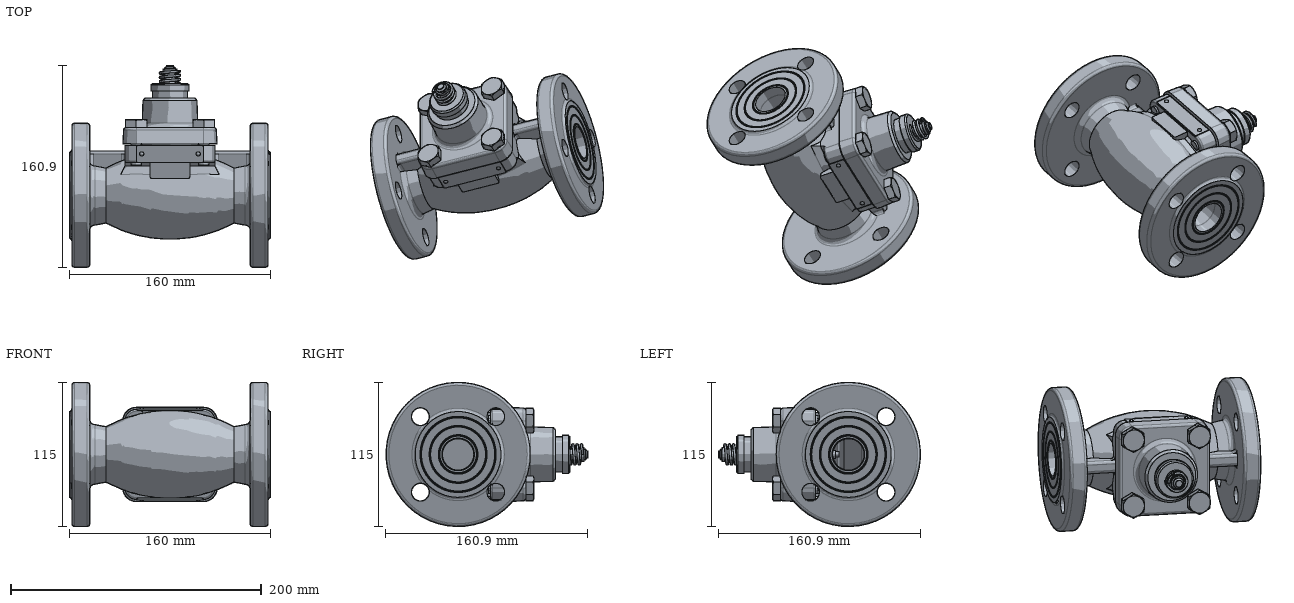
import cadquery as cq
import math


face_to_face = 160.0
flange_dia = 115.0
flange_thickness = 14.3
flange_edge_radius = 2.3
raised_face_height = 1.8
raised_face_radius = 34.2
raised_face_base_radius = 36.8
bolt_circle_dia = 85.0
bolt_hole_dia = 14.0
bolt_hole_count = 4
groove_radii = (15.2, 22.5, 29.8)
groove_width = 1.2
groove_depth = 0.5

barrel_radius = 35.1
barrel_half_length = 51.0
barrel_end_radius = 22.2
neck_big_radius = 23.9
neck_fillet = 4.0

bore_radius = 13.0
bore_length = 9.0
passage_end_radius = 12.5
outlet_depth = 55.0
ramp_half_width = 20.0

mount_half_width = 35.9
mount_corner_radius = 9.2
mount_bottom = 26.0
mount_top = 39.8
mount_edge_radius = 1.4
pedestal_bottom = 16.6
pedestal_bottom_half_length = 39.2
pedestal_waist = 23.3
pedestal_waist_inset = 1.8
pedestal_top_inset = -0.8
web_top = 35.4
web_half_thickness = 5.0
web_edge_radius = 2.4
web_floor = 10.0
web_corner_radius = 3.0
web_sink = 0.1

plate_half_length = 26.6
plate_bottom = 26.05
plate_top = 39.6
plate_corner_radius = 1.0
plate_face = 36.4
plate_embed = 1.0
rivet_offset = 22.5
rivet_height = 33.0
rivet_radius = 1.7
rivet_rise = 1.0
tab_half_length = 15.8
tab_bottom = 13.4
tab_face = 33.6
tab_corner_radius = 1.5

bonnet_bottom = 40.9
bonnet_flange_top = 54.0
bonnet_half_width = 37.6
bonnet_corner_radius = 10.8
bonnet_draft_angle = 3.0
bonnet_edge_radius = 2.2
gasket_radius = 22.5
hub_base_radius = 22.2
hub_top_radius = 21.6
hub_top = 77.7
hub_chamfer = 2.0
hub_fillet = 3.6
collar_radius = 14.1
cap_radius = 15.3
cap_bottom = 83.1
cap_top = 89.0
cap_chamfer = 1.2

screw_offset = 27.0
screw_radius = 4.2
screw_end = 24.3
head_across_flats = 17.2
head_top = 60.4
head_chamfer_angle = 30.0

overall_width = 160.9
stem_top = overall_width - flange_dia / 2
stem_radius = 4.3
stem_tip_radius = 2.8
stem_tip_length = 0.8
stem_cone_end = 101.6
disc_radius = 5.7
disc_top = 100.5
disc_bottom = 98.4
spring_radius = 7.6
spring_wire_radius = 0.95
spring_pitch = 3.4
spring_embed = 0.1
spring_start = cap_top - spring_embed
spring_turns = 3
spring_ground_top = 99.4
spindle_radius = 3.2
spindle_end = 10.3
pin_radius = 2.2
pin_end = 7.3

end_x = face_to_face / 2
flange_outer_x = end_x - raised_face_height
flange_inner_x = flange_outer_x - flange_thickness
neck_big_x = flange_inner_x - neck_fillet
barrel_bulge = barrel_radius - barrel_end_radius
barrel_arc_radius = (barrel_half_length**2 + barrel_bulge**2) / (2 * barrel_bulge)
arc_middle = 1 - math.sqrt(0.5)


def barrel_radius_at(x):
    return barrel_radius - barrel_arc_radius + math.sqrt(barrel_arc_radius**2 - x**2)


def barrel_half_width(x, y):
    """Half width of the barrel along Z at position x and height y."""
    return math.sqrt(barrel_radius_at(x)**2 - y**2)


def both_sides(shape, plane):
    return shape.union(shape.mirror(plane))


def plane_at_height(y):
    """Sketch plane at height y: local x is X, local y is -Z, extruding toward +Y."""
    return cq.Workplane("XZ", origin=(0, y, 0)).transformed(rotate=(180, 0, 0))


def disc(radius, bottom, top, x=0, z=0):
    return plane_at_height(bottom).center(x, -z).circle(radius).extrude(top - bottom)


def corner_positions(offset):
    return [(sx * offset, sz * offset) for sx in (-1, 1) for sz in (-1, 1)]


def make_barrel():
    outline = (
        cq.Workplane("XY")
        .moveTo(-neck_big_x, 0)
        .lineTo(-neck_big_x, neck_big_radius)
        .lineTo(-barrel_half_length, barrel_end_radius)
        .threePointArc((0, barrel_radius), (barrel_half_length, barrel_end_radius))
        .lineTo(neck_big_x, neck_big_radius)
        .lineTo(neck_big_x, 0)
        .close()
    )
    return outline.revolve(360, (0, 0, 0), (1, 0, 0))


def make_end_flange():
    """Flange at the -X end, with its raised face and the fillet that runs into the neck."""
    rim = flange_dia / 2
    edge = flange_edge_radius
    flare = raised_face_base_radius - raised_face_radius
    flare_arc = (raised_face_height**2 + flare**2) / (2 * raised_face_height)
    flare_half_angle = math.asin(flare / flare_arc) / 2
    flare_middle = (
        -flange_outer_x - flare_arc * (1 - math.cos(flare_half_angle)),
        raised_face_base_radius - flare_arc * math.sin(flare_half_angle),
    )
    root = neck_big_radius + neck_fillet
    outline = (
        cq.Workplane("XY")
        .moveTo(-end_x, 0)
        .lineTo(-end_x, raised_face_radius)
        .threePointArc(flare_middle, (-flange_outer_x, raised_face_base_radius))
        .lineTo(-flange_outer_x, rim - edge)
        .threePointArc(
            (-flange_outer_x + arc_middle * edge, rim - arc_middle * edge),
            (-flange_outer_x + edge, rim),
        )
        .lineTo(-flange_inner_x - edge, rim)
        .threePointArc(
            (-flange_inner_x - arc_middle * edge, rim - arc_middle * edge),
            (-flange_inner_x, rim - edge),
        )
        .lineTo(-flange_inner_x, root)
        .threePointArc(
            (-flange_inner_x + arc_middle * neck_fillet, neck_big_radius + arc_middle * neck_fillet),
            (-neck_big_x, neck_big_radius),
        )
        .lineTo(-neck_big_x, 0)
        .close()
    )
    return outline.revolve(360, (0, 0, 0), (1, 0, 0))


def make_flange_cuts():
    """Bolt holes and V-shaped sealing grooves of the -X flange."""
    cuts = (
        cq.Workplane("YZ", origin=(-end_x, 0, 0))
        .polarArray(bolt_circle_dia / 2, 180 / bolt_hole_count, 360, bolt_hole_count)
        .circle(bolt_hole_dia / 2)
        .extrude(end_x - flange_inner_x)
    )
    for radius in groove_radii:
        groove = (
            cq.Workplane("XY")
            .polyline([
                (-end_x, radius - groove_width / 2),
                (-end_x + groove_depth, radius),
                (-end_x, radius + groove_width / 2),
            ])
            .close()
            .revolve(360, (0, 0, 0), (1, 0, 0))
        )
        cuts = cuts.union(groove)
    return cuts


def make_passage(depth):
    """Bore entering from the -X end: a short cylinder, then a slight taper down to the given depth."""
    outline = cq.Workplane("XY").polyline([
        (-end_x, 0),
        (-end_x, bore_radius),
        (-end_x + bore_length, bore_radius),
        (-end_x + depth, passage_end_radius),
        (-end_x + depth, 0),
    ])
    return outline.close().revolve(360, (0, 0, 0), (1, 0, 0))


def make_inlet():
    """Inlet passage, closed by a stepped ramp that rises toward the stem."""
    ramp_foot = (-12.0, -10.4)
    ramp_crest = (1.8, 3.4)
    shelf_middle = (6.5, 5.0)
    shelf_end = (9.5, 8.5)
    ramp_end = (15.0, 14.0)
    floor_start_x = -16.0
    allowed = (
        cq.Workplane("XY", origin=(0, 0, -ramp_half_width))
        .moveTo(-end_x, ramp_end[1])
        .lineTo(-end_x, -ramp_end[1])
        .lineTo(floor_start_x, -bore_radius)
        .lineTo(*ramp_foot)
        .lineTo(*ramp_crest)
        .threePointArc(shelf_middle, shelf_end)
        .lineTo(*ramp_end)
        .close()
        .extrude(2 * ramp_half_width)
    )
    return make_passage(end_x + ramp_end[0]).intersect(allowed)


def make_spindle_tip():
    """Lower end of the spindle, reaching down into the inlet passage."""
    spindle = disc(spindle_radius, spindle_end, mount_bottom)
    return spindle.union(disc(pin_radius, pin_end, mount_bottom))


def make_mount():
    """Square block on the barrel that carries the bonnet."""
    return (
        plane_at_height(mount_bottom)
        .rect(2 * mount_half_width, 2 * mount_half_width)
        .extrude(mount_top - mount_bottom)
        .edges("|Y")
        .fillet(mount_corner_radius)
        .faces("<Y")
        .edges()
        .fillet(mount_edge_radius)
    )


def make_pedestal():
    """Waisted column from the barrel to the underside of the mount, following the barrel's bulge."""

    def outline(plane, half_length, inset):
        middle = barrel_half_width(0, pedestal_bottom) - inset
        end = barrel_half_width(half_length, pedestal_bottom) - inset
        return (
            plane.moveTo(-half_length, -end)
            .threePointArc((0, -middle), (half_length, -end))
            .lineTo(half_length, end)
            .threePointArc((0, middle), (-half_length, end))
            .close()
        )

    def stage(bottom, bottom_length, bottom_inset, top, top_length, top_inset):
        lower = outline(plane_at_height(bottom), bottom_length, bottom_inset)
        upper = outline(lower.workplane(offset=top - bottom), top_length, top_inset)
        return upper.loft(ruled=True)

    foot = stage(
        pedestal_bottom, pedestal_bottom_half_length, 0,
        pedestal_waist, mount_half_width, pedestal_waist_inset,
    )
    top = mount_bottom + mount_edge_radius
    neck = stage(
        pedestal_waist, mount_half_width, pedestal_waist_inset,
        top, mount_half_width, pedestal_top_inset,
    )
    return foot.union(neck)


def make_web():
    """Rib between the -X flange and the mount: rounded top edges, side walls flared at both ends."""
    start = -flange_inner_x - web_sink
    end = -mount_half_width + web_sink
    side = web_half_thickness
    flare = web_corner_radius
    middle = arc_middle * flare
    overlap = 1.0
    half_plan = (
        plane_at_height(web_floor)
        .moveTo(start - overlap, 0)
        .lineTo(start - overlap, side + flare)
        .lineTo(start, side + flare)
        .threePointArc((start + middle, side + middle), (start + flare, side))
        .lineTo(end - flare, side)
        .threePointArc((end - middle, side + middle), (end, side + flare))
        .lineTo(end + overlap, side + flare)
        .lineTo(end + overlap, 0)
        .mirrorX()
    )
    flared = half_plan.extrude(web_top - web_edge_radius - web_floor)
    core = (
        plane_at_height(web_floor)
        .center((start + end) / 2, 0)
        .rect(end - start + 2 * overlap, 2 * side)
        .extrude(web_top - web_floor)
        .faces(">Y")
        .edges("|X")
        .fillet(web_edge_radius)
    )
    return flared.union(core)


def make_name_plate():
    """Riveted plate on the +Z side of the mount."""
    plate_height = plate_top - plate_bottom
    plate_back = mount_half_width - plate_embed
    plate = (
        cq.Workplane("XY", origin=(0, plate_bottom + plate_height / 2, plate_back))
        .rect(2 * plate_half_length, plate_height)
        .extrude(plate_face - plate_back)
        .edges("|Z")
        .fillet(plate_corner_radius)
    )
    dome_radius = (rivet_radius**2 + rivet_rise**2) / (2 * rivet_rise)
    for side in (-1, 1):
        dome_center = (side * rivet_offset, rivet_height, plate_face + rivet_rise - dome_radius)
        plate = plate.union(cq.Workplane("XY", origin=dome_center).sphere(dome_radius))
    return plate


def make_tab():
    """Flat pad on the +Z side of the barrel, just below the mount."""
    height = mount_bottom + mount_edge_radius - tab_bottom
    root = tab_face / 2
    return (
        cq.Workplane("XY", origin=(0, tab_bottom + height / 2, root))
        .rect(2 * tab_half_length, height)
        .extrude(tab_face - root)
        .edges("|Z and <Y")
        .fillet(tab_corner_radius)
    )


def make_bonnet_flange():
    return (
        plane_at_height(bonnet_bottom)
        .sketch()
        .rect(2 * bonnet_half_width, 2 * bonnet_half_width)
        .vertices()
        .fillet(bonnet_corner_radius)
        .finalize()
        .extrude(bonnet_flange_top - bonnet_bottom, taper=bonnet_draft_angle)
        .faces(">Y")
        .edges()
        .fillet(bonnet_edge_radius)
    )


def make_bonnet_hub():
    """Turned upper bonnet: drafted hub, collar, cap and stem in one profile."""
    outline = (
        cq.Workplane("XY")
        .moveTo(0, bonnet_bottom)
        .lineTo(hub_base_radius, bonnet_bottom)
        .lineTo(hub_base_radius + hub_fillet, bonnet_flange_top)
        .threePointArc(
            (hub_base_radius + arc_middle * hub_fillet, bonnet_flange_top + arc_middle * hub_fillet),
            (hub_base_radius, bonnet_flange_top + hub_fillet),
        )
        .lineTo(hub_top_radius, hub_top - hub_chamfer)
        .lineTo(hub_top_radius - hub_chamfer, hub_top)
        .lineTo(collar_radius, hub_top)
        .lineTo(collar_radius, cap_bottom)
        .lineTo(cap_radius, cap_bottom)
        .lineTo(cap_radius, cap_top - cap_chamfer)
        .lineTo(cap_radius - cap_chamfer, cap_top)
        .lineTo(stem_radius, cap_top)
        .lineTo(stem_radius, disc_bottom)
        .lineTo(disc_radius, disc_bottom)
        .lineTo(disc_radius, disc_top)
        .lineTo(stem_radius, disc_top)
        .lineTo(stem_radius, stem_cone_end)
        .lineTo(stem_tip_radius, stem_top - stem_tip_length)
        .lineTo(stem_tip_radius, stem_top)
        .lineTo(0, stem_top)
        .close()
    )
    return outline.revolve(360, (0, 0, 0), (0, 1, 0))


def make_spring():
    """Coil spring around the stem, its upper end ground flat."""
    path = cq.Wire.makeHelix(spring_pitch, spring_pitch * spring_turns, spring_radius)
    coil = (
        cq.Workplane("XZ")
        .center(spring_radius, 0)
        .circle(spring_wire_radius)
        .sweep(cq.Workplane(path), isFrenet=True)
        .rotate((0, 0, 0), (1, 0, 0), -90)
        .translate((0, spring_start, 0))
    )
    return coil.intersect(disc(2 * spring_radius, bonnet_bottom, spring_ground_top))


def make_screw(x, z):
    """Hexagon screw with two flats facing +X and -X."""
    head_corners = head_across_flats / math.cos(math.pi / 6)
    head_height = head_top - bonnet_flange_top
    flat_radius = head_across_flats / 2
    head = (
        plane_at_height(bonnet_flange_top)
        .center(x, -z)
        .transformed(rotate=(0, 0, 90))
        .polygon(6, head_corners)
        .extrude(head_height)
    )
    cone_base_radius = flat_radius + head_height / math.tan(math.radians(head_chamfer_angle))
    cone = cq.Solid.makeCone(
        cone_base_radius, flat_radius, head_height, cq.Vector(x, bonnet_flange_top, z), cq.Vector(0, 1, 0)
    )
    head = head.intersect(cq.Workplane(cone))
    return head.union(disc(screw_radius, screw_end, bonnet_flange_top, x, z))


valve = make_barrel().union(both_sides(make_end_flange(), "YZ"))
for web in (make_web(), make_web().mirror("YZ")):
    valve = valve.union(web)
valve = valve.union(make_pedestal()).union(make_mount())
valve = valve.union(both_sides(make_name_plate(), "XY"))
valve = valve.union(both_sides(make_tab(), "XY"))
valve = valve.cut(both_sides(make_flange_cuts(), "YZ"))
valve = valve.cut(make_inlet())
valve = valve.cut(make_passage(outlet_depth).mirror("YZ"))
valve = valve.union(make_spindle_tip())
valve = valve.union(disc(gasket_radius, mount_top, bonnet_bottom))
valve = valve.union(make_bonnet_flange()).union(make_bonnet_hub())
for screw_x, screw_z in corner_positions(screw_offset):
    valve = valve.union(make_screw(screw_x, screw_z))
result = valve.union(make_spring())